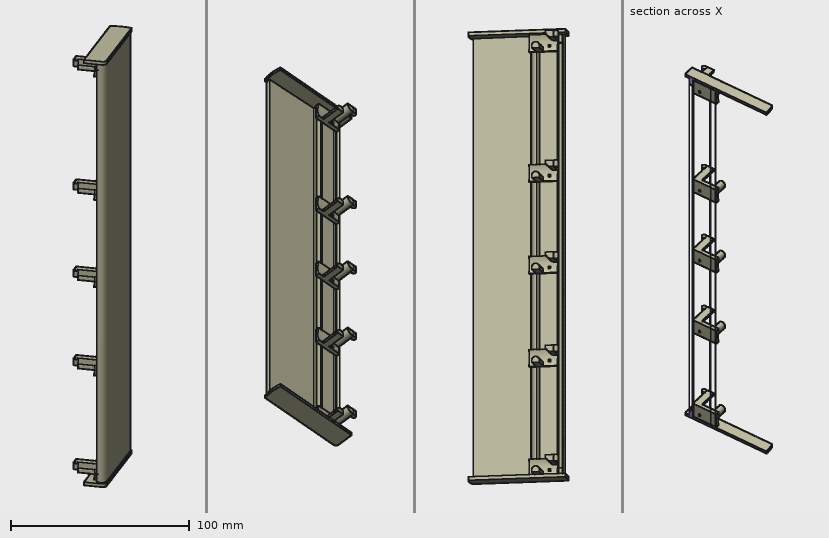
import cadquery as cq
import math


total_height = 254.9
cap_thickness = 2.0
cap_depth = 12.5
cap_width = 55.85
cap_crown = 0.7
cap_corner_radius = 2.1
pin_diameter = 2.7
pin_length = 4.5

panel_height = total_height - 2 * cap_thickness
panel_end_gap = 1.5
panel_top_y = cap_width / 2 - panel_end_gap
panel_outer_x = -0.4
seat_x = -5.8
plate_edge_x = -2.9
plate_slope = math.tan(math.radians(1.5))

left_rib_y = -7.0
left_rib_width = 0.2
channel_radius = 2.3
channel_center_x = -4.0
right_rib_y = -10.4
right_rib_width = 1.5
right_rib_drop = 0.15

lip_y = -22.2
groove_x = -4.95
groove_y = -23.98
nose_start_y = -25.25
nose_end_y = -23.2
nose_tip = (-3.9, -26.3)

clip_height = 9.55
clip_top_y = -6.5
clip_bottom_y = -22.65
clip_tip_x = -19.65
clip_end_thickness = 2.5
clip_hollow_radius = 15.0
hole_diameter = 1.4
hole_y = -18.05
hole_drop = 6.45

upper_arm_width = 4.65
upper_arm_height = 3.6
upper_arm_fillet = 3.1
nub_diameter = 2.7
nub_y = -23.9

lower_arm_y = -12.5
lower_arm_width = 4.15
lower_arm_drop = 6.1
lower_arm_rise = 1.65

clip_tops = [
    panel_height / 2,
    51.6,
    -0.6,
    -53.6,
    clip_height - panel_height / 2,
]


def plate_x(y):
    """X of the slightly sloping inner face of the panel's plate."""
    return plate_edge_x - plate_slope * (panel_top_y - y)


def make_panel():
    channel_center_y = left_rib_y - left_rib_width - channel_radius
    channel_end_offset = channel_center_y - right_rib_y
    channel_end_x = channel_center_x + math.sqrt(channel_radius**2 - channel_end_offset**2)
    channel_floor = (channel_center_x + channel_radius, channel_center_y)
    right_rib_end = right_rib_y - right_rib_width

    profile = (
        cq.Workplane("XY")
        .moveTo(panel_outer_x, panel_top_y)
        .lineTo(plate_x(panel_top_y), panel_top_y)
        .lineTo(plate_x(left_rib_y), left_rib_y)
        .lineTo(seat_x, left_rib_y)
        .lineTo(seat_x, left_rib_y - left_rib_width)
        .lineTo(channel_center_x, left_rib_y - left_rib_width)
        .threePointArc(channel_floor, (channel_end_x, right_rib_y))
        .lineTo(seat_x, right_rib_y)
        .lineTo(seat_x + right_rib_drop, right_rib_end)
        .lineTo(plate_x(right_rib_end), right_rib_end)
        .lineTo(plate_x(lip_y), lip_y)
        .lineTo(seat_x, lip_y)
        .lineTo(seat_x, nose_start_y)
        .threePointArc(nose_tip, (panel_outer_x, nose_end_y))
        .close()
    )
    panel = profile.extrude(panel_height / 2, both=True)
    groove = (
        cq.Workplane("XY")
        .center(groove_x, groove_y)
        .circle(pin_diameter / 2)
        .extrude(panel_height / 2, both=True)
    )
    return panel.cut(groove)


def make_cap(side):
    """End cap at the top (side = 1) or the bottom (side = -1), with its pin in the groove."""
    shoulder_y = cap_width / 2 - cap_crown
    plate = (
        cq.Workplane("XY", origin=(0, 0, side * panel_height / 2))
        .moveTo(0, -cap_width / 2)
        .lineTo(0, shoulder_y)
        .threePointArc((-cap_depth / 2, cap_width / 2), (-cap_depth, shoulder_y))
        .lineTo(-cap_depth, -cap_width / 2)
        .close()
        .extrude(side * cap_thickness)
        .edges("|Z and >X and <Y")
        .fillet(cap_corner_radius)
    )
    pin = (
        cq.Workplane("XY", origin=(groove_x, groove_y, side * panel_height / 2))
        .circle(pin_diameter / 2)
        .extrude(-side * pin_length)
    )
    return plate.union(pin)


def make_base():
    """Plate of a clip, hollowed by a wide round face, with its top at Z = 0."""
    front_x = seat_x - clip_end_thickness
    half_height = clip_height / 2
    hollow = clip_hollow_radius - math.sqrt(clip_hollow_radius**2 - half_height**2)
    base = (
        cq.Workplane("XZ", origin=(0, clip_top_y, 0))
        .moveTo(seat_x, 0)
        .lineTo(front_x, 0)
        .threePointArc((front_x + hollow, -half_height), (front_x, -clip_height))
        .lineTo(seat_x, -clip_height)
        .close()
        .extrude(clip_top_y - clip_bottom_y)
    )
    hole = (
        cq.Workplane("YZ", origin=(clip_tip_x, hole_y, -hole_drop))
        .circle(hole_diameter / 2)
        .extrude(seat_x - clip_tip_x)
    )
    return base.cut(hole)


def make_upper_arm(reach):
    arm = (
        cq.Workplane("XY")
        .box(reach, upper_arm_width, upper_arm_height, centered=False)
        .edges("|X and >Y and <Z")
        .fillet(upper_arm_fillet)
        .translate((clip_tip_x, clip_bottom_y, -upper_arm_height))
    )
    nub = (
        cq.Workplane("XY")
        .center(clip_tip_x + nub_diameter / 2, nub_y)
        .circle(nub_diameter / 2)
        .extrude(-upper_arm_height)
    )
    return arm.union(nub)


def make_lower_arm(reach):
    half_width = lower_arm_width / 2
    spring_z = -lower_arm_drop - lower_arm_rise
    return (
        cq.Workplane("YZ", origin=(clip_tip_x, lower_arm_y, 0))
        .moveTo(-half_width, -clip_height)
        .lineTo(-half_width, spring_z)
        .threePointArc((0, -lower_arm_drop), (half_width, spring_z))
        .lineTo(half_width, -clip_height)
        .close()
        .extrude(reach)
    )


def make_clip():
    arm_reach = seat_x - clip_tip_x - clip_end_thickness / 2
    return make_base().union(make_upper_arm(arm_reach)).union(make_lower_arm(arm_reach))


panel = make_panel()
caps = [make_cap(side) for side in (1, -1)]
clip = make_clip()
clips = [clip.translate((0, 0, top)) for top in clip_tops]

bodies = [panel] + caps + clips
result = cq.Compound.makeCompound([body.val() for body in bodies])